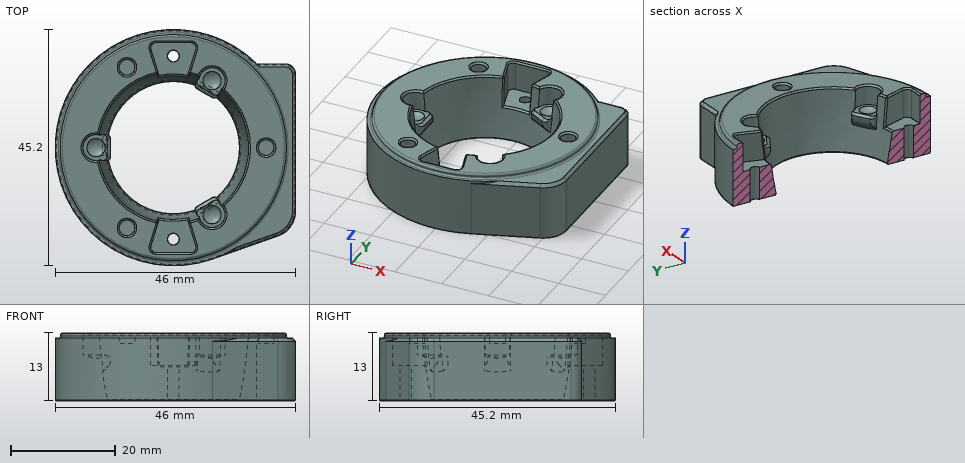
import cadquery as cq
import math

ring_radius = 22.615
body_height = 12.05
total_height = 13.0
bottom_chamfer = 0.25
edge_chamfer = 0.3
mouth_chamfer = 0.35

collar_radius = 21.65
collar_foot = 0.3
collar_round = 0.4

bore_bottom_radius = 12.65
bore_top_radius = 14.45
bore_bow = 0.2

total_width = 46
lug_face_x = total_width - ring_radius
lug_edge_y = 16.05
lug_slope = 19.4
lug_small_round = 2.02
lug_large_round = 5.0
lug_chamfer = 0.6

hole_diameter = 3.0
hole_circle_radius = 17.75
hole_depth = 2.02
hole_angles = (0, 120, 240)

seat_angles = (60, 180, 300)
seat_circle_radius = 14.8
seat_radius = 2.5
seat_z = 8.85
pad_tip_radius = 12.0
pad_bevel_length = 0.7
pad_bevel_drop = 0.4
pad_nose_z = 7.2
pad_nose_round = 1.85
pad_corner_round = 0.85
dimple_radius = 1.75
dimple_depth = 0.65

pocket_floor_z = 6.85
pocket_outer_y = 20.1
pocket_outer_half = 4.7
pocket_mouth_y = 13.55
pocket_mouth_half = 2.65
pocket_corner_round = 1.0
pocket_hole_diameter = 2.2
pocket_hole_y = 17.55


def make_disc():
    """Solid turned disc with the stepped collar."""
    foot_z = body_height + collar_foot
    crown_z = total_height - collar_round
    return (
        cq.Workplane("XZ")
        .moveTo(0, 0)
        .lineTo(ring_radius - bottom_chamfer, 0)
        .lineTo(ring_radius, bottom_chamfer)
        .lineTo(ring_radius, body_height)
        .lineTo(collar_radius + collar_foot, body_height)
        .radiusArc((collar_radius, foot_z), collar_foot)
        .lineTo(collar_radius, crown_z)
        .radiusArc((collar_radius - collar_round, total_height), -collar_round)
        .lineTo(0, total_height)
        .close()
        .revolve(360, (0, 0), (0, 1))
    )


def make_lug():
    """Lug whose sloped side leaves the disc along a tangent."""
    slope = math.radians(lug_slope)
    tangent_x = ring_radius * math.sin(slope)
    tangent_y = -ring_radius * math.cos(slope)
    corner_y = tangent_y + (lug_face_x - tangent_x) * math.tan(slope)
    lug = (
        cq.Workplane("XY")
        .moveTo(0, 0)
        .lineTo(tangent_x, tangent_y)
        .lineTo(lug_face_x, corner_y)
        .lineTo(lug_face_x, lug_edge_y)
        .lineTo(0, lug_edge_y)
        .close()
        .extrude(body_height)
    )
    for y, round_radius in ((lug_edge_y, lug_small_round), (corner_y, lug_large_round)):
        corner = cq.selectors.NearestToPointSelector((lug_face_x, y, body_height / 2))
        lug = lug.edges(corner).fillet(round_radius)
    outer = cq.selectors.BoxSelector(
        (tangent_x, -total_width, -total_height),
        (total_width, total_width, total_height),
    )
    lug = lug.faces(">Z").edges(outer).chamfer(lug_chamfer)
    return lug.faces("<Z").edges(outer).chamfer(bottom_chamfer)


def make_bore():
    """Cutter for the bowed bore with its bottom chamfer."""
    middle_radius = (bore_bottom_radius + bore_top_radius) / 2 + bore_bow
    return (
        cq.Workplane("XZ")
        .moveTo(0, 0)
        .lineTo(bore_bottom_radius + edge_chamfer, 0)
        .lineTo(bore_bottom_radius, edge_chamfer)
        .threePointArc((middle_radius, total_height / 2), (bore_top_radius, total_height))
        .lineTo(0, total_height)
        .close()
        .revolve(360, (0, 0), (0, 1))
    )


def chamfer_rim(body):
    """Chamfer the inner rim of the top face and the pocket edges in the bore wall."""
    top_edges = body.faces(">Z").val().innerWires()[0].Edges()
    mouth_edges = []
    for side in (-1, 1):
        mouth = cq.selectors.BoxSelector(
            (-pocket_outer_half, side * bore_bottom_radius, 0),
            (pocket_outer_half, side * bore_top_radius, total_height - edge_chamfer),
        )
        mouth_edges += body.edges(mouth).vals()
    return body.newObject(top_edges + mouth_edges).chamfer(edge_chamfer)


def make_well(radius, floor_z):
    """Round cutter from floor_z up to the top face, chamfered at its mouth."""
    return (
        cq.Workplane("XZ")
        .moveTo(0, floor_z)
        .lineTo(radius, floor_z)
        .lineTo(radius, total_height - mouth_chamfer)
        .lineTo(radius + mouth_chamfer, total_height)
        .lineTo(0, total_height)
        .close()
        .revolve(360, (0, 0), (0, 1))
    )


def at_angle(shape, radius, angle):
    """Move a shape from the origin out to a polar position."""
    return shape.translate((radius, 0, 0)).rotate((0, 0, 0), (0, 0, 1), angle)


def pad_outline(tip_radius, z):
    """Rounded rectangle about the seat, with its inner side at tip_radius."""
    length = 2 * (seat_circle_radius - tip_radius)
    return (
        cq.Sketch()
        .push([(seat_circle_radius, 0)])
        .rect(length, 2 * seat_radius)
        .reset()
        .vertices()
        .fillet(pad_corner_round)
        .moved(cq.Location(cq.Vector(0, 0, z)))
    )


def make_pad():
    """Pad on the +X side: bevelled top, rounded nose and a 45 degree underside."""
    root = seat_circle_radius
    length = root - pad_tip_radius
    bevel_z = seat_z - pad_bevel_drop
    block = cq.Workplane("XY").placeSketch(pad_outline(pad_tip_radius, 0)).extrude(bevel_z)
    profile = (
        cq.Workplane("XZ")
        .moveTo(root, bevel_z)
        .lineTo(pad_tip_radius, bevel_z)
        .lineTo(pad_tip_radius, pad_nose_z)
        .lineTo(root, pad_nose_z - length)
        .close()
        .extrude(seat_radius, both=True)
    )
    nose = cq.selectors.NearestToPointSelector((pad_tip_radius, 0, pad_nose_z))
    profile = profile.edges(nose).fillet(pad_nose_round)
    bevel = (
        cq.Workplane("XY")
        .placeSketch(
            pad_outline(pad_tip_radius, bevel_z),
            pad_outline(pad_tip_radius + pad_bevel_length, seat_z),
        )
        .loft(ruled=True)
    )
    inner_half = cq.Workplane("XY").box(root, 2 * ring_radius, total_height, centered=(False, True, False))
    return block.intersect(profile).union(bevel.intersect(inner_half))


def make_dimple():
    """Cutter shaped as a spherical cap, point down, for a shallow dimple in the seat."""
    sphere_radius = (dimple_radius**2 + dimple_depth**2) / (2 * dimple_depth)
    return (
        cq.Workplane("XZ")
        .moveTo(0, seat_z - dimple_depth)
        .radiusArc((dimple_radius, seat_z), -sphere_radius)
        .lineTo(0, seat_z)
        .close()
        .revolve(360, (0, 0), (0, 1))
    )


def make_pocket():
    """Wedge cutter on the +Y side, running inwards past the bore wall."""
    flare = (pocket_outer_half - pocket_mouth_half) / (pocket_outer_y - pocket_mouth_y)
    inner_y = pocket_mouth_y - seat_radius
    inner_half = pocket_mouth_half - flare * seat_radius
    return (
        cq.Workplane("XY", origin=(0, 0, pocket_floor_z))
        .moveTo(-inner_half, inner_y)
        .lineTo(inner_half, inner_y)
        .lineTo(pocket_outer_half, pocket_outer_y)
        .lineTo(-pocket_outer_half, pocket_outer_y)
        .close()
        .extrude(total_height - pocket_floor_z)
        .edges("|Z and >Y")
        .fillet(pocket_corner_round)
    )


result = make_disc().union(make_lug()).cut(make_bore())

pocket = make_pocket()
pocket_hole = cq.Workplane("XY").circle(pocket_hole_diameter / 2).extrude(total_height)
for angle in (0, 180):
    result = result.cut(pocket.rotate((0, 0, 0), (0, 0, 1), angle))
result = chamfer_rim(result)
for y in (-pocket_hole_y, pocket_hole_y):
    result = result.cut(pocket_hole.translate((0, y, 0)))

hole = make_well(hole_diameter / 2, total_height - hole_depth)
for angle in hole_angles:
    result = result.cut(at_angle(hole, hole_circle_radius, angle))

seat_well = make_well(seat_radius, seat_z)
pad = make_pad()
dimple = make_dimple()
for angle in seat_angles:
    result = result.cut(at_angle(seat_well, seat_circle_radius, angle))
    result = result.union(pad.rotate((0, 0, 0), (0, 0, 1), angle))
    result = result.cut(at_angle(dimple, seat_circle_radius, angle))